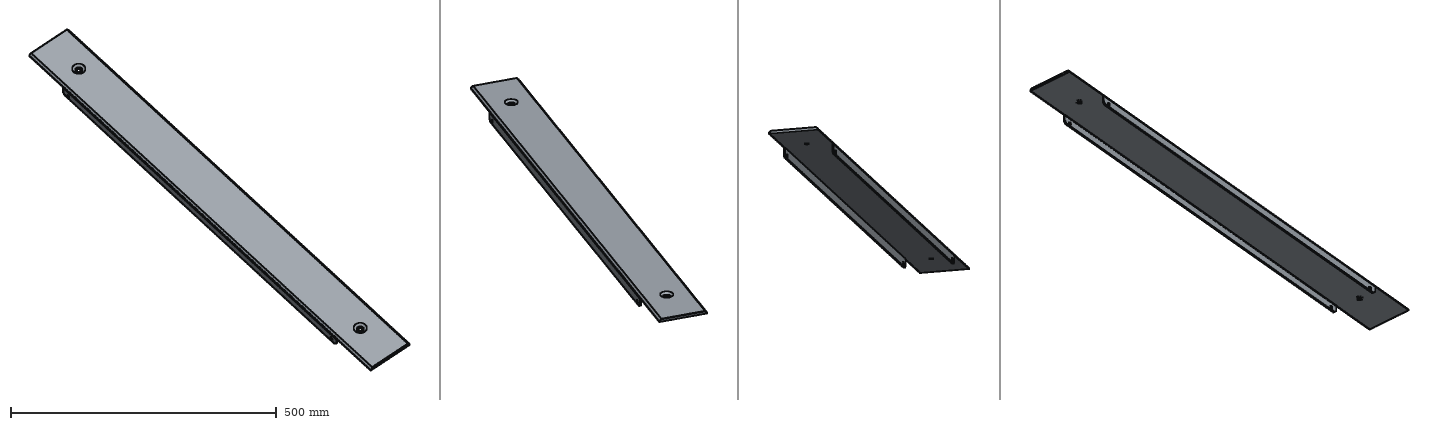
import cadquery as cq

plate_length = 995.0
plate_width = 97.0
side_land = 1.7
side_bevel = 4.4
end_bevel = 1.0
plate_thickness = side_land + side_bevel

overall_width = 99.0
flange_length = 796.0
flange_drop = 18.0
flange_thickness = 3.0
flange_corner = 5.0
plate_top = flange_drop + plate_thickness

screw_spacing = 820.0
recess_top_diameter = 25.0
recess_seat_diameter = 14.0
recess_depth = 4.0
screw_hole_diameter = 8.0

pin_spacing = 766.0
pin_hole_diameter = 6.0
pin_hole_height = 5.5


def make_plate():
    """Flat bar with broad bevels along its sides and narrow ones at its ends."""
    plate = cq.Workplane("XY").box(plate_length, plate_width, plate_thickness, centered=(True, True, False))
    plate = plate.faces(">Z").edges("|X").chamfer(side_bevel)
    plate = plate.faces(">Z").edges("|Y").chamfer(end_bevel)
    return plate.translate((0, 0, flange_drop))


def make_flange(side):
    """Leg under one long side (+1 or -1), with its lower corners cut off."""
    center_y = side * (overall_width - flange_thickness) / 2
    flange = cq.Workplane("XY").box(flange_length, flange_thickness, flange_drop, centered=(True, True, False))
    flange = flange.faces("<Z").edges("|Y").chamfer(flange_corner)
    return flange.translate((0, center_y, 0))


def screw_hole_cutter(center_x):
    """Conical recess and through hole, revolved about a vertical axis."""
    top_radius = recess_top_diameter / 2
    seat_radius = recess_seat_diameter / 2
    hole_radius = screw_hole_diameter / 2
    profile = (
        cq.Workplane("XZ")
        .moveTo(0, 0)
        .lineTo(top_radius, 0)
        .lineTo(seat_radius, -recess_depth)
        .lineTo(hole_radius, -recess_depth)
        .lineTo(hole_radius, -plate_thickness)
        .lineTo(0, -plate_thickness)
        .close()
    )
    cutter = profile.revolve(360, (0, 0, 0), (0, 1, 0))
    return cutter.translate((center_x, 0, plate_top))


def pin_hole_cutter(center_x):
    """Round bar running across both flanges."""
    return (
        cq.Workplane("XZ")
        .center(center_x, pin_hole_height)
        .circle(pin_hole_diameter / 2)
        .extrude(overall_width, both=True)
    )


result = make_plate()
for side in (-1, 1):
    result = result.union(make_flange(side))
for end in (-1, 1):
    result = result.cut(screw_hole_cutter(end * screw_spacing / 2))
    result = result.cut(pin_hole_cutter(end * pin_spacing / 2))